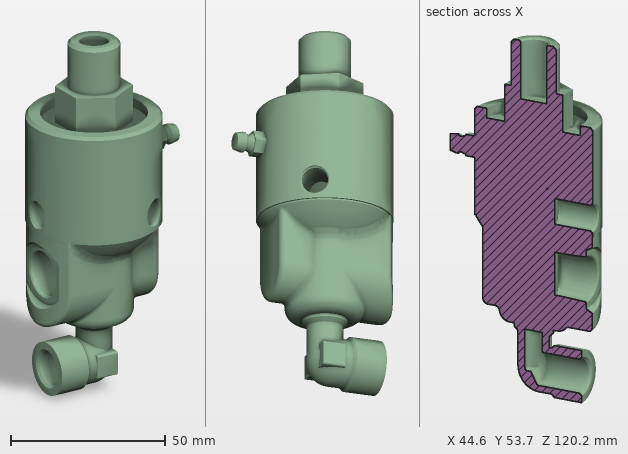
import cadquery as cq
import math


HOUSING_DIA = 44.6
HOUSING_R = HOUSING_DIA / 2
HOUSING_TOP = 37.3
HOUSING_CHAMFER = 1.0
RECESS_DIA = 35.05
RECESS_DEPTH = 3.3
DOME_SPHERE_R = 26.0
DOME_TOP_R = 21.6
DOME_TOP_Z = -0.5
NECK_DIA = 26.0
NECK_R = NECK_DIA / 2
NECK_BOTTOM = -34.5
NECK_EDGE_R = 4.0
DOME_NECK_FILLET_R = 4.0
DOME_CENTRE_Z = DOME_TOP_Z + math.sqrt(DOME_SPHERE_R**2 - DOME_TOP_R**2)

HEX_FLATS = 22.0
HEX_TOP = 46.7
STEM_DIA = 17.14
STEM_TOP = 62.7
STEM_CHAMFER = 1.1
STEM_BORE_DIA = 9.5
STEM_BORE_RIM_DIA = 10.72
STEM_BORE_DEPTH = 20.0

ARM_CENTRE_Z = -19.6
ARM_OVERLAP = 2.0
FRONT_ARM_R = NECK_R
FRONT_ARM_EDGE_R = 1.4
FRONT_ARM_FACE_DIA = 44.1
FRONT_ARM_FOOT_FILLET_R = 1.0
REAR_ARM_R = 10.2
REAR_ARM_END_Y = 19.2
REAR_ARM_EDGE_R = 2.0
REAR_ARM_ROOT_FILLET_R = 1.4

CORE_DIA = 16.0

PORT_Z = -15.0
PORT_DIA = 13.89
PORT_MOUTH_DIA = 15.2
PORT_RIM_DIA = 16.0
SPOT_FACE_HALF_HEIGHT = 10.0
SPOT_FACE_ARC_R = 14.2
SPOT_FACE_WALL_ANGLE = 27.0
SPOT_FACE_Y = -19.8

DRAIN_DIA = 8.6
DRAIN_RIM_DIA = 9.5
DRAIN_Z = 6.3
DRAIN_COUNT = 3

NIPPLE_Z = 23.3
NIPPLE_HEX_CORNERS = 8.6
NIPPLE_HEX_END_Y = 25.6
NIPPLE_ROOT_Y = 20.0
NIPPLE_TIP_Y = 31.36
NIPPLE_TIP_DIA = 5.7
NIPPLE_BEAD_DIA = 6.75
NIPPLE_WAIST_DIA = 5.5
NIPPLE_BASE_DIA = 6.35
NIPPLE_BEAD_OUTER_Y = 29.0
NIPPLE_BEAD_INNER_Y = 28.2
NIPPLE_WAIST_Y = 27.2
NIPPLE_BASE_Y = 26.2

ELBOW_DIA = 12.0
ELBOW_R = ELBOW_DIA / 2
ELBOW_BODY_R = 8.0
ELBOW_AXIS_Z = -48.51
COLLAR_R = 7.4
COLLAR_EDGE_Z = -35.5
COLLAR_BOTTOM = -36.8
HEAD_DIA = 18.0
HEAD_BACK_Y = -7.8
HEAD_FRONT_Y = -18.1
HEAD_BACK_CHAMFER = 1.0
SOCKET_DIA = 11.45
SOCKET_RIM_DIA = 13.1
SOCKET_END_Y = -1.5
DRILL_POINT_ANGLE = 118.0
ELBOW_BORE_DIA = 6.35
ELBOW_BORE_TOP = -36.0
ELBOW_BORE_BOTTOM = -49.9
ELBOW_BORE_END_R = 0.8
PAD_CENTRE_Y = -0.1
PAD_LENGTH = 7.8
PAD_HEIGHT = 8.1
PAD_SPAN = 16.8
PAD_EDGE_R = 0.7


def z_cylinder(dia, bottom, top):
    return cq.Workplane("XY").workplane(offset=bottom).circle(dia / 2).extrude(top - bottom)


def y_plane(y, z):
    """Sketch plane facing -Y at the given Y, centred on the given height."""
    return cq.Workplane("XZ", origin=(0, y, z))


def turned_along_y(profile, z):
    """Revolve (radius, y) points about the Y-parallel axis at the given height."""
    outline = cq.Workplane("XY", origin=(0, 0, z)).polyline(profile).close()
    return outline.revolve(360, (0, 0, 0), (0, 1, 0))


def make_shell():
    """Housing, dome and neck turned as one body."""
    dome_end_z = DOME_CENTRE_Z - math.sqrt(DOME_SPHERE_R**2 - NECK_R**2)
    mid_r = (DOME_TOP_R + NECK_R) / 2
    mid_z = DOME_CENTRE_Z - math.sqrt(DOME_SPHERE_R**2 - mid_r**2)
    return (
        cq.Workplane("XZ")
        .moveTo(0, HOUSING_TOP)
        .lineTo(HOUSING_R - HOUSING_CHAMFER, HOUSING_TOP)
        .lineTo(HOUSING_R, HOUSING_TOP - HOUSING_CHAMFER)
        .lineTo(HOUSING_R, 0)
        .lineTo(DOME_TOP_R, 0)
        .lineTo(DOME_TOP_R, DOME_TOP_Z)
        .threePointArc((mid_r, mid_z), (NECK_R, dome_end_z))
        .lineTo(NECK_R, NECK_BOTTOM)
        .lineTo(0, NECK_BOTTOM)
        .close()
        .revolve(360, (0, 0, 0), (0, 1, 0))
        .faces("<Z")
        .edges()
        .fillet(NECK_EDGE_R)
    )


def make_arm(radius, start_y, length):
    """Arm running toward -Y from start_y, straight sides over a half-round bottom."""
    height = ARM_OVERLAP - ARM_CENTRE_Z
    return (
        y_plane(start_y, ARM_CENTRE_Z)
        .moveTo(-radius, height)
        .lineTo(-radius, 0)
        .threePointArc((0, -radius), (radius, 0))
        .lineTo(radius, height)
        .close()
        .extrude(length)
    )


def make_front_arm():
    arm = make_arm(FRONT_ARM_R, 0, HOUSING_DIA)
    arm = arm.intersect(z_cylinder(FRONT_ARM_FACE_DIA, ARM_CENTRE_Z - HOUSING_DIA, ARM_OVERLAP))
    outer_face = cq.selectors.BoxSelector(
        (-HOUSING_R, -HOUSING_R - 1, -HOUSING_DIA), (HOUSING_R, -NECK_R, -1)
    )
    return arm.edges(outer_face).fillet(FRONT_ARM_EDGE_R)


def make_rear_arm():
    arm = make_arm(REAR_ARM_R, REAR_ARM_END_Y, REAR_ARM_END_Y)
    return arm.faces(">Y").edges("not >Z").fillet(REAR_ARM_EDGE_R)


def make_casting():
    """Shell with both arms, rounded where they meet."""
    front_root = cq.selectors.BoxSelector((-NECK_R - 0.1, -HOUSING_R, -9), (NECK_R + 0.1, NECK_R, -3))
    front_foot = cq.selectors.BoxSelector(
        (-NECK_R, -NECK_R, NECK_BOTTOM), (NECK_R, -NECK_R / 4, ARM_CENTRE_Z - 1)
    )
    rear_root = cq.selectors.BoxSelector(
        (-REAR_ARM_R - 0.1, 5, NECK_BOTTOM + NECK_EDGE_R + 0.1), (REAR_ARM_R + 0.1, 16, -3)
    )
    casting = make_shell().union(make_front_arm())
    casting = casting.edges(front_root).fillet(DOME_NECK_FILLET_R)
    casting = casting.edges(front_foot).edges("not %CIRCLE").fillet(FRONT_ARM_FOOT_FILLET_R)
    casting = casting.union(make_rear_arm())
    return casting.edges(rear_root).edges("not |Y").fillet(REAR_ARM_ROOT_FILLET_R)


def make_rotor():
    hexagon_dia = HEX_FLATS / math.cos(math.pi / 6)
    recess_floor = HOUSING_TOP - RECESS_DEPTH
    hexagon = (
        cq.Workplane("XY").workplane(offset=recess_floor)
        .polygon(6, hexagon_dia).extrude(HEX_TOP - recess_floor)
    )
    stem = z_cylinder(STEM_DIA, recess_floor, STEM_TOP).faces(">Z").chamfer(STEM_CHAMFER)
    return hexagon.union(stem)


def make_stem_bore():
    bore = z_cylinder(STEM_BORE_DIA, STEM_TOP - STEM_BORE_DEPTH, STEM_TOP)
    rim = cq.Solid.makeCone(
        STEM_BORE_DIA / 2, STEM_BORE_RIM_DIA / 2, (STEM_BORE_RIM_DIA - STEM_BORE_DIA) / 2,
        pnt=cq.Vector(0, 0, STEM_TOP - (STEM_BORE_RIM_DIA - STEM_BORE_DIA) / 2),
    )
    return bore.union(cq.Workplane(rim))


def make_rimmed_hole(dia, mouth_dia, rim_dia, rim_y, z):
    """Hole toward -Y from the round core.

    It widens from dia at the Z axis to mouth_dia, then at 45 degrees to rim_dia at rim_y.
    """
    rim_depth = (rim_dia - mouth_dia) / 2
    profile = [
        (0, 0), (dia / 2, 0), (mouth_dia / 2, rim_y + rim_depth),
        (rim_dia / 2, rim_y), (rim_dia / 2, -HOUSING_DIA), (0, -HOUSING_DIA),
    ]
    return turned_along_y(profile, z).cut(z_cylinder(CORE_DIA, z - rim_dia, z + rim_dia))


def make_spot_face():
    """Flat bounded above and below by arcs, with walls that lean outward."""
    arc_offset = SPOT_FACE_ARC_R - SPOT_FACE_HALF_HEIGHT
    upper, lower = [
        y_plane(SPOT_FACE_Y, PORT_Z + offset)
        .circle(SPOT_FACE_ARC_R)
        .extrude(HOUSING_R + SPOT_FACE_Y + 1, taper=-SPOT_FACE_WALL_ANGLE)
        for offset in (-arc_offset, arc_offset)
    ]
    return upper.intersect(lower)


def make_port():
    hole = make_rimmed_hole(PORT_DIA, PORT_MOUTH_DIA, PORT_RIM_DIA, SPOT_FACE_Y, PORT_Z)
    return hole.union(make_spot_face())


def cut_drains(body):
    lip_y = -math.sqrt(HOUSING_R**2 - (DRAIN_RIM_DIA / 2) ** 2)
    drain = make_rimmed_hole(DRAIN_DIA, DRAIN_DIA, DRAIN_RIM_DIA, lip_y, DRAIN_Z)
    for index in range(DRAIN_COUNT):
        body = body.cut(drain.rotate((0, 0, 0), (0, 0, 1), index * 360 / DRAIN_COUNT))
    return body


def make_nipple():
    hexagon = (
        y_plane(NIPPLE_HEX_END_Y, NIPPLE_Z)
        .polygon(6, NIPPLE_HEX_CORNERS)
        .extrude(NIPPLE_HEX_END_Y - NIPPLE_ROOT_Y)
    )
    base_r = NIPPLE_BASE_DIA / 2
    bead_r = NIPPLE_BEAD_DIA / 2
    stub = (
        cq.Workplane("XY", origin=(0, 0, NIPPLE_Z))
        .moveTo(0, NIPPLE_ROOT_Y)
        .lineTo(base_r, NIPPLE_ROOT_Y)
        .lineTo(base_r, NIPPLE_BASE_Y)
        .threePointArc((NIPPLE_WAIST_DIA / 2, NIPPLE_WAIST_Y), (bead_r, NIPPLE_BEAD_INNER_Y))
        .lineTo(bead_r, NIPPLE_BEAD_OUTER_Y)
        .lineTo(NIPPLE_TIP_DIA / 2, NIPPLE_TIP_Y)
        .lineTo(0, NIPPLE_TIP_Y)
        .close()
        .revolve(360, (0, 0, 0), (0, 1, 0))
    )
    return hexagon.union(stub)


def make_elbow():
    pipe = z_cylinder(ELBOW_DIA, ELBOW_AXIS_Z, NECK_BOTTOM)
    collar = (
        cq.Workplane("XZ")
        .polyline([
            (0, NECK_BOTTOM), (COLLAR_R, NECK_BOTTOM), (COLLAR_R, COLLAR_EDGE_Z),
            (ELBOW_R, COLLAR_BOTTOM), (0, COLLAR_BOTTOM),
        ])
        .close()
        .revolve(360, (0, 0, 0), (0, 1, 0))
    )
    corner_y = ELBOW_R - ELBOW_BODY_R
    corner = cq.Workplane("XY", origin=(0, corner_y, ELBOW_AXIS_Z)).sphere(ELBOW_BODY_R)
    branch = y_plane(corner_y, ELBOW_AXIS_Z).circle(ELBOW_BODY_R).extrude(corner_y - HEAD_BACK_Y)
    head = (
        y_plane(HEAD_BACK_Y + HEAD_BACK_CHAMFER, ELBOW_AXIS_Z)
        .circle(HEAD_DIA / 2)
        .extrude(HEAD_BACK_Y + HEAD_BACK_CHAMFER - HEAD_FRONT_Y)
        .faces(">Y")
        .chamfer(HEAD_BACK_CHAMFER)
    )
    pads = (
        cq.Workplane("XY", origin=(0, PAD_CENTRE_Y, ELBOW_AXIS_Z))
        .box(PAD_SPAN, PAD_LENGTH, PAD_HEIGHT)
        .edges("|Y")
        .fillet(PAD_EDGE_R)
    )
    return pipe.union(collar).union(corner).union(branch).union(head).union(pads)


def make_elbow_bore():
    socket_r = SOCKET_DIA / 2
    rim_r = SOCKET_RIM_DIA / 2
    tip_y = SOCKET_END_Y + socket_r / math.tan(math.radians(DRILL_POINT_ANGLE / 2))
    profile = [
        (0, tip_y), (socket_r, SOCKET_END_Y), (socket_r, HEAD_FRONT_Y + rim_r - socket_r),
        (rim_r, HEAD_FRONT_Y), (0, HEAD_FRONT_Y),
    ]
    bore = z_cylinder(ELBOW_BORE_DIA, ELBOW_BORE_BOTTOM, ELBOW_BORE_TOP)
    bore = bore.faces("<Z").edges().fillet(ELBOW_BORE_END_R)
    return turned_along_y(profile, ELBOW_AXIS_Z).union(bore)


body = make_casting()
body = body.cut(z_cylinder(RECESS_DIA, HOUSING_TOP - RECESS_DEPTH, HOUSING_TOP))
body = body.union(make_rotor()).cut(make_stem_bore())
body = body.cut(make_port())
body = cut_drains(body)
elbow = make_elbow().cut(make_elbow_bore())
result = body.union(make_nipple()).union(elbow)